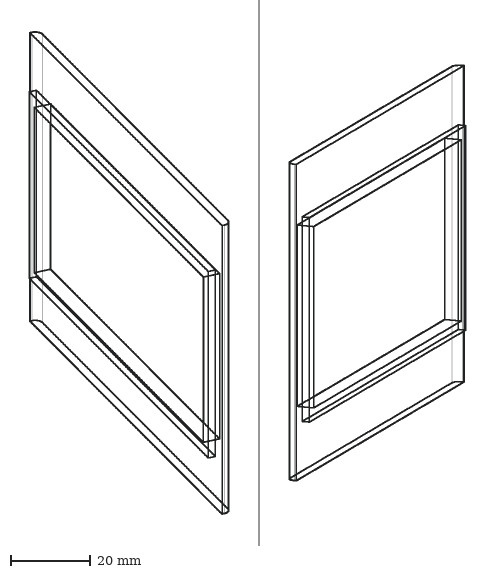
import cadquery as cq

plate_width = 116.0
plate_height = 82.0
total_depth = 4.5
rim_depth = 2.0
plate_thickness = total_depth - rim_depth
edge_radius = 2.0

window_width = 102.0
window_height = 47.0
rim_wall = 3.0
rim_width = window_width + 2 * rim_wall
rim_height = window_height + 2 * rim_wall


def make_plate():
    """Plate with its front face on Y = 0 and both upright back edges rounded."""
    plate = cq.Workplane("XY").box(
        plate_width, plate_thickness, plate_height, centered=(True, False, True)
    )
    return plate.faces(">Y").edges("|Z").fillet(edge_radius)


def make_rim():
    """Solid block standing out from the front face, before the window is cut."""
    return cq.Workplane("XZ").rect(rim_width, rim_height).extrude(rim_depth)


def make_window():
    """Cutter for the opening through both the plate and the rim."""
    return cq.Workplane("XY").box(window_width, 2 * total_depth, window_height)


result = make_plate().union(make_rim()).cut(make_window())